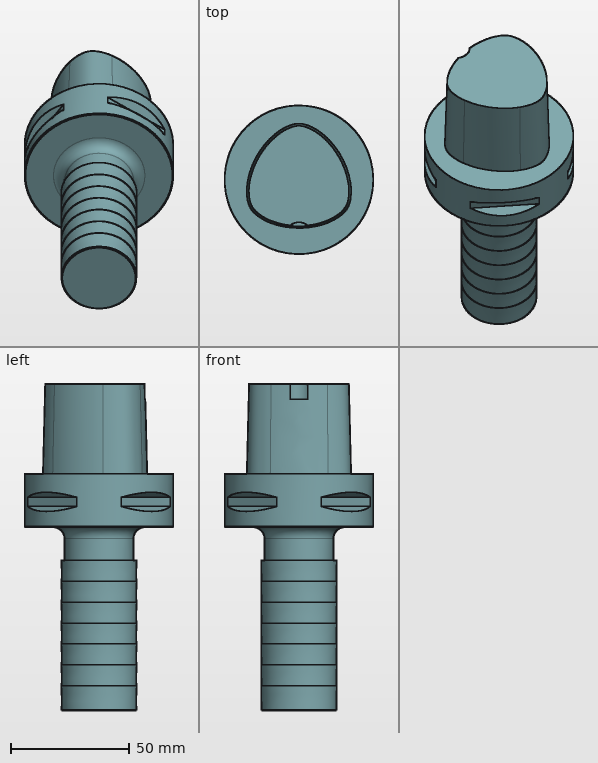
import cadquery as cq
import math

total_height = 138.2
flange_top = 100.2
flange_bottom = 77.5
cutter_top = 63.6

flange_diameter = 63.0
flange_edge_chamfer = 0.4
neck_diameter = 29.3
neck_fillet = 4.7

shank_base_radius = 22.1
shank_taper = 0.025
shank_lobe = 1.7
flat_half_angle = 22.0
lobe_count = 3
points_per_face = 9

notch_radius = 5.5
notch_depth = 6.5
notch_axis_y = -23.5

groove_count = 4
groove_height = 88.3
groove_floor_distance = 27.9
groove_floor_width = 3.9
groove_mouth_width = 8.2

ring_count = 7
ring_diameter = 32.0
ring_pitch = 8.8
ring_ledge = 0.1
end_chamfer = 0.4


def lobe_point(mean_radius, angle):
    """Point of a constant-width lobed outline whose outward normal is at angle (degrees)."""
    direction = math.radians(angle)
    phase = math.radians(lobe_count * (angle - 90))
    support = mean_radius + shank_lobe * math.cos(phase)
    slope = -lobe_count * shank_lobe * math.sin(phase)
    x = support * math.cos(direction) - slope * math.sin(direction)
    y = support * math.sin(direction) + slope * math.cos(direction)
    return (x, y)


def lobed_outline(work, mean_radius):
    """Closed outline with alternating flat and lobe curves, one lobe toward +Y."""
    face_pitch = 360 / lobe_count
    flat_sweep = 2 * flat_half_angle
    start_angle = 270 - flat_half_angle
    work = work.moveTo(*lobe_point(mean_radius, start_angle))
    for _ in range(lobe_count):
        for sweep in (flat_sweep, face_pitch - flat_sweep):
            step = sweep / (points_per_face - 1)
            points = [lobe_point(mean_radius, start_angle + i * step) for i in range(1, points_per_face)]
            tangents = [
                (-math.sin(math.radians(a)), math.cos(math.radians(a)))
                for a in (start_angle, start_angle + sweep)
            ]
            work = work.spline(points, tangents=tangents, includeCurrent=True)
            start_angle += sweep
    return work.close()


def make_shank():
    height = total_height - flange_top
    top_radius = shank_base_radius - shank_taper * height
    base = lobed_outline(cq.Workplane("XY").workplane(offset=flange_top), shank_base_radius)
    shank = lobed_outline(base.workplane(offset=height), top_radius).loft(ruled=True)
    notch = (
        cq.Workplane("XY", origin=(0, notch_axis_y, total_height - notch_depth))
        .circle(notch_radius)
        .extrude(notch_depth)
    )
    return shank.cut(notch)


def make_flange_and_neck():
    """Turned flange with a concave fillet running into the neck."""
    flange_radius = flange_diameter / 2
    neck_radius = neck_diameter / 2
    fillet_mid = neck_fillet * (1 - math.sqrt(0.5))
    return (
        cq.Workplane("XZ")
        .moveTo(0, cutter_top)
        .lineTo(neck_radius, cutter_top)
        .lineTo(neck_radius, flange_bottom - neck_fillet)
        .threePointArc(
            (neck_radius + fillet_mid, flange_bottom - fillet_mid),
            (neck_radius + neck_fillet, flange_bottom),
        )
        .lineTo(flange_radius - flange_edge_chamfer, flange_bottom)
        .lineTo(flange_radius, flange_bottom + flange_edge_chamfer)
        .lineTo(flange_radius, flange_top)
        .lineTo(0, flange_top)
        .close()
        .revolve(360, (0, 0, 0), (0, 1, 0))
    )


def make_groove_cutter():
    """Straight trapezoidal bar along Y whose narrow face is the groove floor."""
    outer = flange_diameter / 2
    half_floor = groove_floor_width / 2
    half_mouth = groove_mouth_width / 2
    return (
        cq.Workplane("XZ")
        .polyline([
            (groove_floor_distance, groove_height - half_floor),
            (outer, groove_height - half_mouth),
            (outer, groove_height + half_mouth),
            (groove_floor_distance, groove_height + half_floor),
        ])
        .close()
        .extrude(outer, both=True)
    )


def make_holder():
    holder = make_flange_and_neck().union(make_shank())
    groove = make_groove_cutter()
    groove_spacing = 360 / groove_count
    for i in range(groove_count):
        angle = (i + 0.5) * groove_spacing
        holder = holder.cut(groove.rotate((0, 0, 0), (0, 0, 1), angle))
    return holder


def make_ring(bottom, top):
    """Cutter ring that narrows slightly downward, so the ring below stands out as a ledge."""
    top_radius = ring_diameter / 2
    bottom_radius = top_radius - ring_ledge
    return (
        cq.Workplane("XZ")
        .polyline([(0, bottom), (bottom_radius, bottom), (top_radius, top), (0, top)])
        .close()
        .revolve(360, (0, 0, 0), (0, 1, 0))
    )


holder = make_holder()

rings = []
for i in range(ring_count):
    ring_top = cutter_top - i * ring_pitch
    if i < ring_count - 1:
        ring = make_ring(ring_top - ring_pitch, ring_top)
    else:
        ring = make_ring(0, ring_top).faces("<Z").chamfer(end_chamfer)
    rings.append(ring)

result = cq.Compound.makeCompound([
    holder.solids().val(),
    *[ring.solids().val() for ring in rings],
])